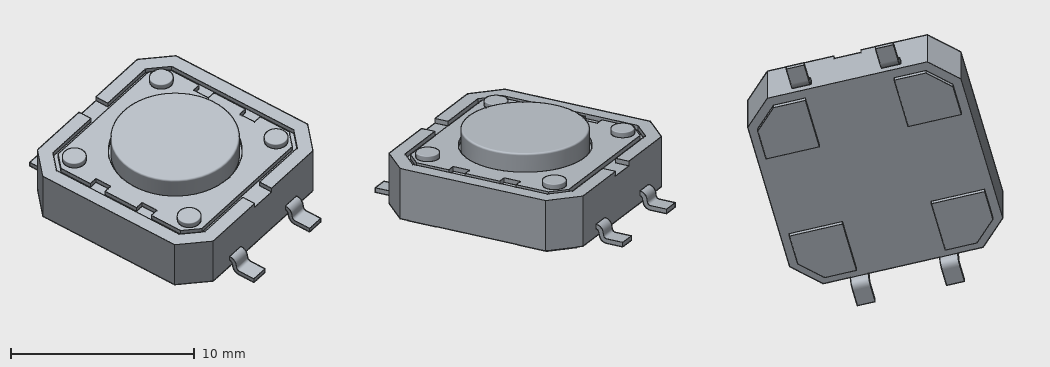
import cadquery as cq
import math

total_length = 15.3
total_height = 4.3
body_bottom = 0.28
body_height = 3.0
body_top = body_bottom + body_height

body_side = 12.0
body_chamfer = 1.5

recess_depth = 0.28
recess_floor = body_top - recess_depth
rim_opening_side = 10.36
rim_opening_chamfer = 1.01
rim_notch_width = 1.51

cover_side = 9.8
cover_chamfer = 0.83
cover_notch_width = 1.01
cover_notch_depth = 0.5
cover_notch_offset = 1.58
cover_hole_diameter = 7.28

button_diameter = 7.0
button_fillet = 0.1

rivet_diameter = 1.3
rivet_height = 0.3
rivet_fillet = 0.05
rivet_offset = 3.92

foot_side = 3.0
foot_inset = 0.5
foot_chamfer = 1.21

lead_width = 1.01
lead_offset = 2.51
lead_thickness = 0.28
lead_top = 1.01
lead_inner_radius = 0.18
lead_outer_radius = lead_inner_radius + lead_thickness
lead_flat_length = 1.0
lead_bend_angle = 80.0
lead_embed = 0.15

SIGNS = (-1, 1)


def chamfered_square(side, chamfer, bottom, height):
    """Square plate centred on Z with its four vertical corners cut off."""
    plate = cq.Workplane("XY").workplane(offset=bottom).rect(side, side).extrude(height)
    return plate.edges("|Z").chamfer(chamfer)


def cylinder(diameter, bottom, height):
    """Upright cylinder on the Z axis."""
    return cq.Workplane("XY").workplane(offset=bottom).circle(diameter / 2).extrude(height)


def make_housing():
    """Chamfered block with a shallow recess that opens out through both X sides."""
    housing = chamfered_square(body_side, body_chamfer, body_bottom, body_height)
    recess = chamfered_square(rim_opening_side, rim_opening_chamfer, recess_floor, recess_depth)
    notches = (
        cq.Workplane("XY")
        .workplane(offset=recess_floor)
        .rect(body_side, rim_notch_width)
        .extrude(recess_depth)
    )
    return housing.cut(recess).cut(notches)


def make_cover():
    """Plate with two notches in each Y edge and a clearance hole for the button."""
    cover = chamfered_square(cover_side, cover_chamfer, recess_floor, recess_depth)
    notch_centre = (cover_side - cover_notch_depth) / 2
    notches = (
        cq.Workplane("XY")
        .workplane(offset=recess_floor)
        .pushPoints([(sx * cover_notch_offset, sy * notch_centre) for sx in SIGNS for sy in SIGNS])
        .rect(cover_notch_width, cover_notch_depth)
        .extrude(recess_depth)
    )
    hole = cylinder(cover_hole_diameter, recess_floor, recess_depth)
    return cover.cut(notches).cut(hole)


def make_button():
    """Round button with a softened top edge, standing on the recess floor."""
    button = cylinder(button_diameter, recess_floor, total_height - recess_floor)
    return button.faces(">Z").edges().fillet(button_fillet)


def make_rivet():
    """Low round head standing on the cover."""
    rivet = cylinder(rivet_diameter, body_top, rivet_height)
    return rivet.faces(">Z").edges().fillet(rivet_fillet)


def make_foot():
    """Square pad in the +X +Y corner, with its outer corner cut off."""
    outer = body_side / 2 - foot_inset
    centre = outer - foot_side / 2
    foot = cq.Workplane("XY").center(centre, centre).rect(foot_side, foot_side).extrude(body_bottom)
    return foot.edges("|Z and >(1, 1, 0)").chamfer(foot_chamfer)


def make_lead():
    """S-bent strip on the +X side: flat foot, steep riser, then a bend into the housing."""
    tip = total_length / 2
    flat_end = tip - lead_flat_length
    embedded_end = body_side / 2 - lead_embed
    lead_underside = lead_top - lead_thickness

    normal_x = math.sin(math.radians(lead_bend_angle))
    normal_z = math.cos(math.radians(lead_bend_angle))

    lower_centre_z = lead_outer_radius
    upper_centre_z = lead_top - lead_outer_radius
    centre_rise = upper_centre_z - lower_centre_z
    bend_radii = lead_inner_radius + lead_outer_radius
    bend_end = flat_end - (bend_radii + centre_rise * normal_z) / normal_x

    def on_lower_bend(radius):
        return (flat_end - radius * normal_x, lower_centre_z - radius * normal_z)

    def on_upper_bend(radius):
        return (bend_end + radius * normal_x, upper_centre_z + radius * normal_z)

    profile = (
        cq.Workplane("XZ")
        .moveTo(tip, 0)
        .lineTo(tip, lead_thickness)
        .lineTo(flat_end, lead_thickness)
        .radiusArc(on_lower_bend(lead_inner_radius), lead_inner_radius)
        .lineTo(*on_upper_bend(lead_outer_radius))
        .radiusArc((bend_end, lead_top), -lead_outer_radius)
        .lineTo(embedded_end, lead_top)
        .lineTo(embedded_end, lead_underside)
        .lineTo(bend_end, lead_underside)
        .radiusArc(on_upper_bend(lead_inner_radius), lead_inner_radius)
        .lineTo(*on_lower_bend(lead_outer_radius))
        .radiusArc((flat_end, 0), -lead_outer_radius)
        .close()
    )
    return profile.extrude(lead_width / 2, both=True).translate((0, lead_offset, 0))


def in_four_quadrants(shape):
    """The shape together with its mirror images across the XZ and YZ planes."""
    pair = shape.union(shape.mirror("YZ"))
    return pair.union(pair.mirror("XZ"))


rivets = in_four_quadrants(make_rivet().translate((rivet_offset, rivet_offset, 0)))
feet = in_four_quadrants(make_foot())
leads = in_four_quadrants(make_lead())

switch_body = make_housing().union(make_cover()).union(make_button())
result = switch_body.union(rivets).union(feet).union(leads)